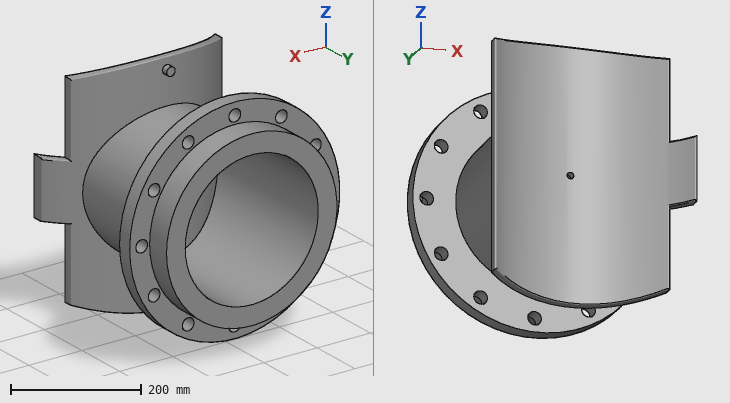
import cadquery as cq


collar_diameter = 320.0
collar_length = 45.0
flange_diameter = 395
flange_thickness = 27.0
pipe_diameter = 256
bore_diameter = 250.0
bolt_circle_diameter = 350.0
bolt_hole_diameter = 22.0
bolt_count = 12

saddle_inner_radius = 200.0
saddle_thickness = 15.0
saddle_outer_radius = saddle_inner_radius + saddle_thickness
saddle_height = 420
saddle_side_height = 376.5
saddle_half_width = 142.0
saddle_apex_y = -225.0
saddle_axis_y = saddle_apex_y - saddle_outer_radius
edge_fillet = 2.0
vent_diameter = 10.5

tab_reach = 173.0
tab_height = 106.0

pin_diameter = 16.0
pin_projection = 11.0
pin_offset = 189


def cylinder_along_y(diameter, start_y, end_y, x=0, z=0):
    """Cylinder parallel to Y, from start_y forward to the smaller end_y."""
    plane = cq.Workplane("XZ", origin=(x, start_y, z))
    return plane.circle(diameter / 2).extrude(start_y - end_y)


def upright_cylinder(radius):
    """Vertical cylinder about the saddle's axis of curvature."""
    base = cq.Workplane("XY", origin=(0, saddle_axis_y, -saddle_height / 2))
    return base.circle(radius).extrude(saddle_height)


def make_saddle():
    """Curved plate with arched ends and a side tab, rounded along both curved faces."""
    half_side = saddle_side_height / 2
    half_height = saddle_height / 2
    half_tab = tab_height / 2
    outline = (
        cq.Workplane("XZ", origin=(0, saddle_apex_y, 0))
        .moveTo(-saddle_half_width, -half_side)
        .threePointArc((0, -half_height), (saddle_half_width, -half_side))
        .lineTo(saddle_half_width, -half_tab)
        .lineTo(tab_reach, -half_tab)
        .lineTo(tab_reach, half_tab)
        .lineTo(saddle_half_width, half_tab)
        .lineTo(saddle_half_width, half_side)
        .threePointArc((0, half_height), (-saddle_half_width, half_side))
        .close()
        .extrude(saddle_outer_radius)
    )
    concave_side = upright_cylinder(saddle_inner_radius)
    plate = outline.intersect(upright_cylinder(saddle_outer_radius)).cut(concave_side)
    largest_faces = sorted(plate.faces().vals(), key=lambda face: face.Area())[-2:]
    return plate.newObject(largest_faces).edges().fillet(edge_fillet)


def make_nozzle():
    """Collar, drilled flange and a thin pipe ending on the convex side of the saddle."""
    flange_rear_y = -collar_length
    flange_front_y = flange_rear_y - flange_thickness
    nozzle = cylinder_along_y(collar_diameter, 0, flange_rear_y)
    nozzle = nozzle.union(cylinder_along_y(flange_diameter, flange_rear_y, flange_front_y))
    nozzle = nozzle.union(cylinder_along_y(pipe_diameter, flange_front_y, saddle_axis_y))
    nozzle = nozzle.cut(cylinder_along_y(bore_diameter, 0, saddle_axis_y))
    bolt_holes = (
        cq.Workplane("XZ", origin=(0, flange_rear_y, 0))
        .polarArray(bolt_circle_diameter / 2, 0, 360, bolt_count)
        .circle(bolt_hole_diameter / 2)
        .extrude(flange_thickness)
    )
    trim = upright_cylinder(saddle_outer_radius - saddle_thickness / 2)
    return nozzle.cut(bolt_holes).cut(trim)


result = make_saddle().union(make_nozzle())

pin_rear_y = saddle_apex_y + pin_projection
pin_root_y = saddle_apex_y - saddle_thickness / 2
for pin_z in (-pin_offset, pin_offset):
    result = result.union(cylinder_along_y(pin_diameter, pin_rear_y, pin_root_y, z=pin_z))

result = result.cut(cylinder_along_y(vent_diameter, 0, saddle_axis_y))